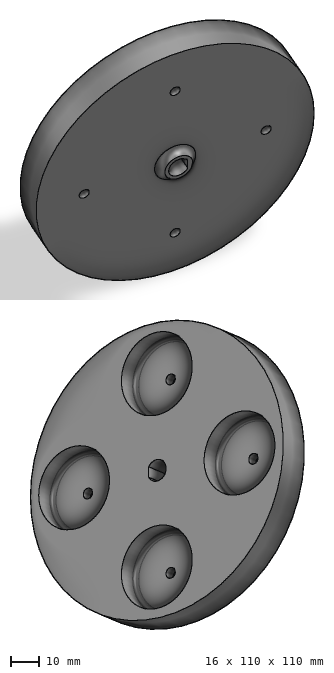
import cadquery as cq

disc_diameter = 110.0
disc_thickness = 13.0

hub_height = 3.0
hub_tip_radius = 5.5
hub_base_radius = 8.1
hub_flare_sag = 0.4

bore_diameter = 8.0
bore_flat_offset = 3.5

pocket_count = 4
pocket_circle_radius = 36.0
pocket_diameter = 30.8
pocket_depth = 8.5
pocket_floor_fillet = 1.5
pocket_hole_diameter = 4.0

total_length = disc_thickness + hub_height


def cylinder_along_x(diameter, length):
    """Cylinder centred on the X axis, starting at X = 0."""
    return cq.Workplane("YZ").circle(diameter / 2).extrude(length)


def make_hub():
    """Revolved hub whose side is a shallow concave arc."""
    flare_middle_x = disc_thickness + hub_height / 2
    flare_middle_radius = (hub_base_radius + hub_tip_radius) / 2
    chord_drop = hub_base_radius - hub_tip_radius
    chord_length = (hub_height**2 + chord_drop**2) ** 0.5
    flare_middle = (
        flare_middle_x - hub_flare_sag * chord_drop / chord_length,
        flare_middle_radius - hub_flare_sag * hub_height / chord_length,
    )
    return (
        cq.Workplane("XY")
        .moveTo(0, 0)
        .lineTo(0, hub_base_radius)
        .lineTo(disc_thickness, hub_base_radius)
        .threePointArc(flare_middle, (total_length, hub_tip_radius))
        .lineTo(total_length, 0)
        .close()
        .revolve(360, (0, 0, 0), (1, 0, 0))
    )


def make_bore():
    """Round cutter trimmed to a flat on its +Y side."""
    trim = (
        cq.Workplane("YZ")
        .center(bore_flat_offset + bore_diameter / 2, 0)
        .rect(bore_diameter, bore_diameter)
        .extrude(total_length)
    )
    return cylinder_along_x(bore_diameter, total_length).cut(trim)


def make_pocket():
    """Pocket and through-hole cutter, placed on the +Y side of the axis."""
    pocket = cylinder_along_x(pocket_diameter, pocket_depth)
    pocket = pocket.faces(">X").edges().fillet(pocket_floor_fillet)
    hole = cylinder_along_x(pocket_hole_diameter, disc_thickness)
    return pocket.union(hole).translate((0, pocket_circle_radius, 0))


result = cylinder_along_x(disc_diameter, disc_thickness).union(make_hub()).cut(make_bore())
for index in range(pocket_count):
    angle = index * 360 / pocket_count
    result = result.cut(make_pocket().rotate((0, 0, 0), (1, 0, 0), angle))